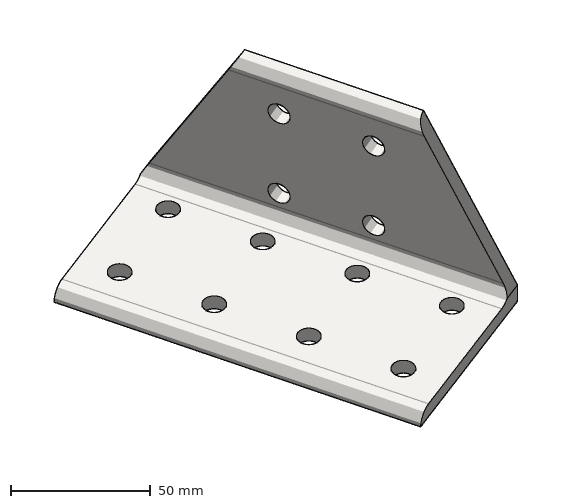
import cadquery as cq

length = 147.5
leg = 76.1
thickness = 6.2
root_radius = 6.2

top_width = 72.0
taper_start_height = 7.8

hole_diameter = 8.9
hole_pitch = leg / 2
base_hole_columns = 4
upright_hole_columns = 2
hole_rows = 2

back = leg / 2
front = -leg / 2


def angle_section():
    """L-shaped bar with a filleted inner corner and quarter-round toes."""
    inner_face = back - thickness
    return (
        cq.Workplane("YZ")
        .moveTo(front, 0)
        .lineTo(back, 0)
        .lineTo(back, leg)
        .radiusArc((inner_face, leg - thickness), -thickness)
        .lineTo(inner_face, thickness + root_radius)
        .radiusArc((inner_face - root_radius, thickness), root_radius)
        .lineTo(front + thickness, thickness)
        .radiusArc((front, 0), -thickness)
        .close()
        .extrude(length / 2, both=True)
    )


def taper_envelope():
    """Full-depth block whose sides slope in to the narrow top of the upright."""
    outline = [
        (-length / 2, 0),
        (length / 2, 0),
        (length / 2, taper_start_height),
        (top_width / 2, leg),
        (-top_width / 2, leg),
        (-length / 2, taper_start_height),
    ]
    return cq.Workplane("XZ").polyline(outline).close().extrude(leg / 2, both=True)


def base_holes():
    """Vertical hole cylinders, centred on the base leg."""
    return (
        cq.Workplane("XY")
        .rarray(hole_pitch, hole_pitch, base_hole_columns, hole_rows)
        .circle(hole_diameter / 2)
        .extrude(thickness)
    )


def upright_holes():
    """Horizontal hole cylinders through the upright leg, centred on its height."""
    return (
        cq.Workplane("XZ", origin=(0, back, leg / 2))
        .rarray(hole_pitch, hole_pitch, upright_hole_columns, hole_rows)
        .circle(hole_diameter / 2)
        .extrude(thickness)
    )


result = angle_section().intersect(taper_envelope()).cut(base_holes()).cut(upright_holes())